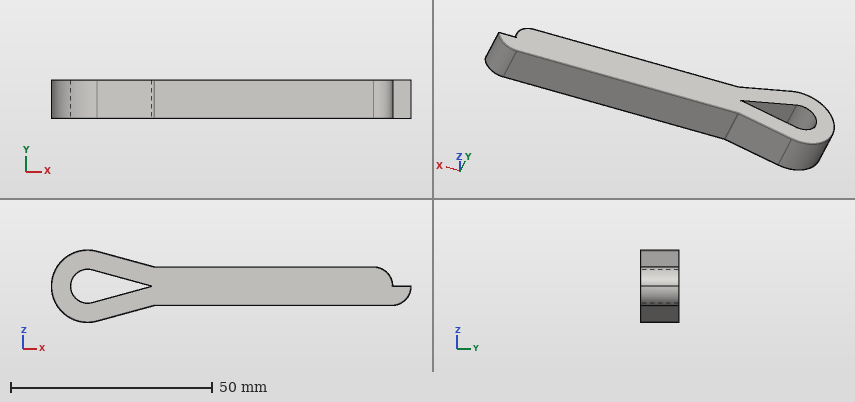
import cadquery as cq
import math

length = 89.5
width = 9.7
leg = 4.8
eye_radius = 4.2
eye_tip_x = 25.0
bend_radius = 0.45
edge_round = 0.2
leg_step = 4.6

loop_radius = eye_radius + leg
loop_x = loop_radius
flank_angle = math.asin(eye_radius / (eye_tip_x - loop_x))
bend_x = eye_tip_x + leg * math.tan(flank_angle / 2)

lower_round_x = length - leg
upper_end_x = length - leg_step
upper_round_x = upper_end_x - leg


def tangent_point(radius, side):
    """Point where the flank leaves the round end; side is +1 above, -1 below."""
    x = loop_x + radius * math.sin(flank_angle)
    z = side * radius * math.cos(flank_angle)
    return (x, z)


def round_point(center_x, side):
    """Middle of the quarter round at a leg's end."""
    offset = leg * math.sqrt(0.5)
    return (center_x + offset, side * offset)


def make_body():
    """Solid side profile, with both bends rounded."""
    outline = (
        cq.Workplane("XZ", origin=(0, width / 2, 0))
        .moveTo(bend_x, leg)
        .lineTo(upper_round_x, leg)
        .threePointArc(round_point(upper_round_x, 1), (upper_end_x, 0))
        .lineTo(length, 0)
        .threePointArc(round_point(lower_round_x, -1), (lower_round_x, -leg))
        .lineTo(bend_x, -leg)
        .lineTo(*tangent_point(loop_radius, -1))
        .threePointArc((0, 0), tangent_point(loop_radius, 1))
        .close()
    )
    body = outline.extrude(width)
    near_bends = cq.selectors.BoxSelector(
        (bend_x - bend_radius, -width, -loop_radius),
        (bend_x + bend_radius, width, loop_radius),
    )
    return body.edges("|Y").edges(near_bends).fillet(bend_radius)


def round_outside(body):
    """Round the rim of both side faces, except along the step between the legs."""
    on_step = cq.selectors.BoxSelector(
        (upper_end_x, -width, -edge_round),
        (length, width, edge_round),
    )
    rim = body.faces("<Y or >Y").edges()
    return rim.filter(lambda edge: not on_step.filter([edge])).fillet(edge_round)


def make_eye():
    """Teardrop opening between the legs, through the full width."""
    return (
        cq.Workplane("XZ", origin=(0, width / 2, 0))
        .moveTo(eye_tip_x, 0)
        .lineTo(*tangent_point(eye_radius, -1))
        .threePointArc((loop_x - eye_radius, 0), tangent_point(eye_radius, 1))
        .close()
        .extrude(width)
    )


result = round_outside(make_body()).cut(make_eye())